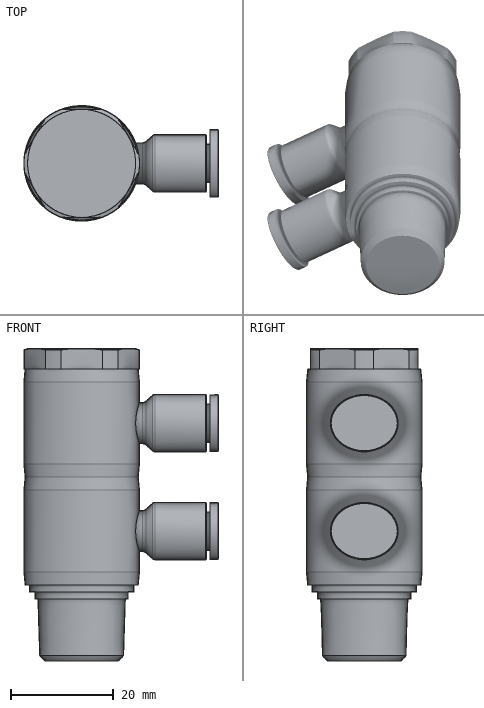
import cadquery as cq
import math

TOTAL_HEIGHT = 60.8
END_CHAMFER_HEIGHT = 1.05
STUD_TOP = 12.1
COLLAR_TOP = 13.45
SHOULDER_TOP = 14.8
TAPER_HEIGHT = 2.55
BARREL_LENGTH = 21.0
BARREL_BOTTOM = SHOULDER_TOP
BARREL_JOINT = BARREL_BOTTOM + BARREL_LENGTH
BARREL_TOP = BARREL_JOINT + BARREL_LENGTH

BARREL_RADIUS = 11.25
BARREL_END_RADIUS = 11.0
SHOULDER_RADIUS = 10.15
COLLAR_RADIUS = 9.05
STUD_TOP_RADIUS = 8.5
STUD_TAPER = 1 / 32
END_CHAMFER_WIDTH = 1.05
STUD_BOTTOM_RADIUS = STUD_TOP_RADIUS - STUD_TAPER * (STUD_TOP - END_CHAMFER_HEIGHT)

HEX_ACROSS_FLATS = 21.0
HEX_TOP_RADIUS = HEX_ACROSS_FLATS / 2
HEX_CHAMFER_ANGLE = 20.0

NECK_RADIUS = 4.0
CONE_START = 12.25
CONE_ANGLE = 42.0
CONE_FOOT_RADIUS = 1.0
CONE_RIM_RADIUS = 0.7
SLEEVE_RADIUS = 5.6
SLEEVE_END = 24.3
SLEEVE_END_CHAMFER = 0.2
STEM_RADIUS = 3.75
FLANGE_START = 24.95
FLANGE_END = 26.65
FLANGE_HALF_WIDTH = 6.58
FLANGE_HALF_HEIGHT = 5.52
FLANGE_CHAMFER = 0.15
FITTING_OFFSET = BARREL_LENGTH / 2


def make_body():
    """Revolved threaded stud, stepped shoulder and two stacked barrels."""
    outline = [
        (0, 0),
        (STUD_BOTTOM_RADIUS - END_CHAMFER_WIDTH, 0),
        (STUD_BOTTOM_RADIUS, END_CHAMFER_HEIGHT),
        (STUD_TOP_RADIUS, STUD_TOP),
        (COLLAR_RADIUS, STUD_TOP),
        (COLLAR_RADIUS, COLLAR_TOP),
        (SHOULDER_RADIUS, COLLAR_TOP),
        (SHOULDER_RADIUS, SHOULDER_TOP),
    ]
    for bottom in (BARREL_BOTTOM, BARREL_JOINT):
        top = bottom + BARREL_LENGTH
        outline.append((BARREL_END_RADIUS, bottom))
        outline.append((BARREL_RADIUS, bottom + TAPER_HEIGHT))
        outline.append((BARREL_RADIUS, top - TAPER_HEIGHT))
    outline.append((BARREL_END_RADIUS, BARREL_TOP))
    outline.append((0, BARREL_TOP))
    return cq.Workplane("XZ").polyline(outline).close().revolve(360, (0, 0), (0, 1))


def make_hex_head():
    """Hexagonal head with rounded corners and a conical chamfer on top."""
    height = TOTAL_HEIGHT - BARREL_TOP
    across_corners = HEX_ACROSS_FLATS / math.cos(math.radians(30))
    hexagon = cq.Workplane("XY", origin=(0, 0, BARREL_TOP)).polygon(6, across_corners).extrude(height)
    chamfer_drop = (BARREL_RADIUS - HEX_TOP_RADIUS) * math.tan(math.radians(HEX_CHAMFER_ANGLE))
    blank = (
        cq.Workplane("XZ")
        .moveTo(0, BARREL_TOP)
        .lineTo(BARREL_RADIUS, BARREL_TOP)
        .lineTo(BARREL_RADIUS, TOTAL_HEIGHT - chamfer_drop)
        .lineTo(HEX_TOP_RADIUS, TOTAL_HEIGHT)
        .lineTo(0, TOTAL_HEIGHT)
        .close()
        .revolve(360, (0, 0), (0, 1))
    )
    return hexagon.intersect(blank)


def make_fitting_sleeve():
    """Neck, blended cone, sleeve and release stem, revolved about the X axis."""
    slope = math.radians(CONE_ANGLE)
    cone_end = CONE_START + (SLEEVE_RADIUS - NECK_RADIUS) / math.tan(slope)
    foot_setback = CONE_FOOT_RADIUS * math.tan(slope / 2)
    rim_setback = CONE_RIM_RADIUS * math.tan(slope / 2)
    foot_end = (CONE_START + foot_setback * math.cos(slope), NECK_RADIUS + foot_setback * math.sin(slope))
    rim_start = (cone_end - rim_setback * math.cos(slope), SLEEVE_RADIUS - rim_setback * math.sin(slope))
    return (
        cq.Workplane("XZ")
        .moveTo(0, 0)
        .lineTo(0, NECK_RADIUS)
        .lineTo(CONE_START - foot_setback, NECK_RADIUS)
        .tangentArcPoint(foot_end, relative=False)
        .lineTo(*rim_start)
        .tangentArcPoint((cone_end + rim_setback, SLEEVE_RADIUS), relative=False)
        .lineTo(SLEEVE_END - SLEEVE_END_CHAMFER, SLEEVE_RADIUS)
        .lineTo(SLEEVE_END, SLEEVE_RADIUS - SLEEVE_END_CHAMFER)
        .lineTo(SLEEVE_END, STEM_RADIUS)
        .lineTo(FLANGE_START, STEM_RADIUS)
        .lineTo(FLANGE_START, 0)
        .close()
        .revolve(360, (0, 0), (1, 0))
    )


def make_release_flange():
    """Oval release flange at the end of the stem, chamfered on its outer rim."""
    return (
        cq.Workplane("YZ", origin=(FLANGE_START, 0, 0))
        .ellipse(FLANGE_HALF_WIDTH, FLANGE_HALF_HEIGHT)
        .extrude(FLANGE_END - FLANGE_START)
        .faces(">X")
        .chamfer(FLANGE_CHAMFER)
    )


fitting = make_fitting_sleeve().union(make_release_flange())

result = make_body().union(make_hex_head())
for barrel_start in (BARREL_BOTTOM, BARREL_JOINT):
    result = result.union(fitting.translate((0, 0, barrel_start + FITTING_OFFSET)))